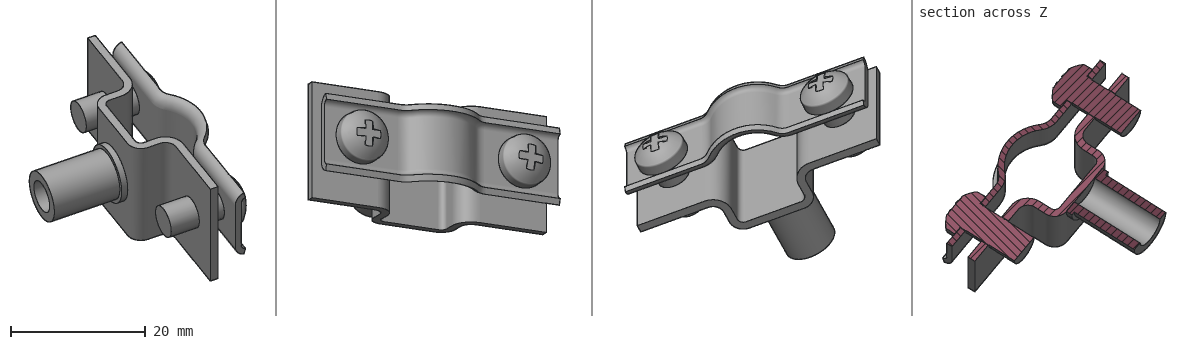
import cadquery as cq
import math


plate_length = 39.0
plate_height = 18.0
plate_thickness = 1.3
tab_top_y = 7.3
wall_outer_x = 6.75
web_bend_inner_radius = 0.98
tab_bend_inner_radius = 1.75

strap_length = 38.9
strap_width = 12.0
strap_thickness = 1.0
strap_face_y = 10.2
lip_outer_radius = 2.0
lip_angle = math.radians(75)
arch_run = 7.15
arch_rise = 3.0
arch_radius = 6.3

screw_spacing = 27.0
shank_diameter = 5.0
screw_end_y = plate_thickness
head_diameter = 8.0
head_rim_diameter = 7.88
head_rim_height = 1.45
dome_edge_diameter = 7.5
dome_edge_height = 1.75
head_height = 3.28
slot_width = 1.25
slot_depth = 0.4

tube_length = 12.0
tube_diameter = 8.0
bore_diameter = 5.0
flange_diameter = 9.2
flange_thickness = 1.0

screw_positions = (-screw_spacing / 2, screw_spacing / 2)
screw_turns = (-4.5, 0)


def cylinder_along_y(diameter, start_y, end_y, x=0):
    """Cylinder on an axis parallel to Y."""
    return (
        cq.Workplane("XZ", origin=(x, start_y, 0))
        .circle(diameter / 2)
        .extrude(start_y - end_y)
    )


def drill_screw_holes(body):
    """Cut a close-fitting hole for each screw shank."""
    for x in screw_positions:
        body = body.cut(cylinder_along_y(shank_diameter, 0, strap_face_y + lip_outer_radius, x))
    return body


def quarter_bend_point(center_x, center_y, radius, side_x, side_y):
    """Midpoint of a quarter arc that bulges toward (side_x, side_y)."""
    reach = radius * math.sqrt(0.5)
    return (center_x + side_x * reach, center_y + side_y * reach)


def make_plate():
    half_length = plate_length / 2
    wall_inner_x = wall_outer_x - plate_thickness
    tab_bottom_y = tab_top_y - plate_thickness

    web_outer_radius = web_bend_inner_radius + plate_thickness
    web_x = wall_outer_x - web_outer_radius
    web_y = web_outer_radius
    tab_outer_radius = tab_bend_inner_radius + plate_thickness
    tab_x = wall_outer_x + tab_bend_inner_radius
    tab_y = tab_top_y - tab_outer_radius

    half_profile = (
        cq.Workplane("XY", origin=(0, 0, -plate_height / 2))
        .moveTo(0, 0)
        .lineTo(web_x, 0)
        .threePointArc(quarter_bend_point(web_x, web_y, web_outer_radius, 1, -1), (wall_outer_x, web_y))
        .lineTo(wall_outer_x, tab_y)
        .threePointArc(quarter_bend_point(tab_x, tab_y, tab_bend_inner_radius, -1, 1), (tab_x, tab_bottom_y))
        .lineTo(half_length, tab_bottom_y)
        .lineTo(half_length, tab_top_y)
        .lineTo(tab_x, tab_top_y)
        .threePointArc(quarter_bend_point(tab_x, tab_y, tab_outer_radius, -1, 1), (wall_inner_x, tab_y))
        .lineTo(wall_inner_x, web_y)
        .threePointArc(
            quarter_bend_point(web_x, web_y, web_bend_inner_radius, 1, -1), (web_x, plate_thickness)
        )
        .lineTo(0, plate_thickness)
        .close()
    )
    half = half_profile.extrude(plate_height)
    return drill_screw_holes(half.union(half.mirror("YZ"), clean=True))


def make_strap_path():
    """Line of the strap's outer face: flat, reverse bend, arch, reverse bend, flat."""
    half_length = strap_length / 2
    bend_angle = 2 * math.atan(arch_rise / arch_run)
    bend_radius = arch_run / math.sin(bend_angle) - arch_radius
    apex_y = strap_face_y + arch_rise

    def bend_point(angle):
        """Point on the +X reverse bend, with the angle measured from the flat."""
        x = arch_run - bend_radius * math.sin(angle)
        y = strap_face_y + bend_radius * (1 - math.cos(angle))
        return x, y

    mid_x, mid_y = bend_point(bend_angle / 2)
    end_x, end_y = bend_point(bend_angle)
    return (
        cq.Workplane("XY")
        .moveTo(-half_length, strap_face_y)
        .lineTo(-arch_run, strap_face_y)
        .threePointArc((-mid_x, mid_y), (-end_x, end_y))
        .threePointArc((0, apex_y), (end_x, end_y))
        .threePointArc((mid_x, mid_y), (arch_run, strap_face_y))
        .lineTo(half_length, strap_face_y)
    )


def make_strap():
    lip_inner_radius = lip_outer_radius - strap_thickness
    lip_z = strap_width / 2 - lip_outer_radius * math.sin(lip_angle)

    def lip_point(radius, angle, side):
        """Point on a lip arc, with the angle measured from the flat of the channel."""
        y = lip_outer_radius - radius * math.cos(angle)
        z = side * (lip_z + radius * math.sin(angle))
        return y, z

    section = (
        cq.Workplane("YZ", origin=(-strap_length / 2, strap_face_y, 0))
        .moveTo(0, -lip_z)
        .lineTo(0, lip_z)
        .threePointArc(
            lip_point(lip_outer_radius, lip_angle / 2, 1), lip_point(lip_outer_radius, lip_angle, 1)
        )
        .lineTo(*lip_point(lip_inner_radius, lip_angle, 1))
        .threePointArc(lip_point(lip_inner_radius, lip_angle / 2, 1), (strap_thickness, lip_z))
        .lineTo(strap_thickness, -lip_z)
        .threePointArc(
            lip_point(lip_inner_radius, lip_angle / 2, -1), lip_point(lip_inner_radius, lip_angle, -1)
        )
        .lineTo(*lip_point(lip_outer_radius, lip_angle, -1))
        .threePointArc(lip_point(lip_outer_radius, lip_angle / 2, -1), (0, -lip_z))
        .close()
    )
    return drill_screw_holes(section.sweep(make_strap_path()))


def make_screw(x, turn):
    """Screw at the given X, with its cross slot turned about its axis by degrees."""
    seat_y = strap_face_y + strap_thickness
    top_y = seat_y + head_height
    dome_edge_radius = dome_edge_diameter / 2
    dome_rise = head_height - dome_edge_height
    dome_radius = (dome_edge_radius**2 + dome_rise**2) / (2 * dome_rise)
    dome_mid_x = dome_edge_radius / 2
    dome_mid_y = top_y - dome_radius + math.sqrt(dome_radius**2 - dome_mid_x**2)

    screw = (
        cq.Workplane("XY")
        .moveTo(0, screw_end_y)
        .lineTo(shank_diameter / 2, screw_end_y)
        .lineTo(shank_diameter / 2, seat_y)
        .lineTo(head_diameter / 2, seat_y)
        .lineTo(head_rim_diameter / 2, seat_y + head_rim_height)
        .tangentArcPoint((dome_edge_radius, seat_y + dome_edge_height), relative=False)
        .threePointArc((dome_mid_x, dome_mid_y), (0, top_y))
        .close()
        .revolve(360, (0, 0, 0), (0, 1, 0))
    )
    for slot_size in ((head_diameter, slot_width), (slot_width, head_diameter)):
        slot = cq.Workplane("XZ", origin=(0, top_y, 0)).rect(*slot_size).extrude(slot_depth)
        screw = screw.cut(slot)
    return screw.rotate((0, 0, 0), (0, 1, 0), turn).translate((x, 0, 0))


def make_tube():
    tube = cylinder_along_y(tube_diameter, 0, -tube_length)
    flange = cylinder_along_y(flange_diameter, 0, -flange_thickness)
    bore = cylinder_along_y(bore_diameter, 0, -tube_length)
    return tube.union(flange).cut(bore)


plate = make_plate()
strap = make_strap()
tube = make_tube()
screws = [make_screw(x, turn) for x, turn in zip(screw_positions, screw_turns)]

result = cq.Compound.makeCompound(
    [plate.val(), strap.val(), tube.val(), *[screw.val() for screw in screws]]
)